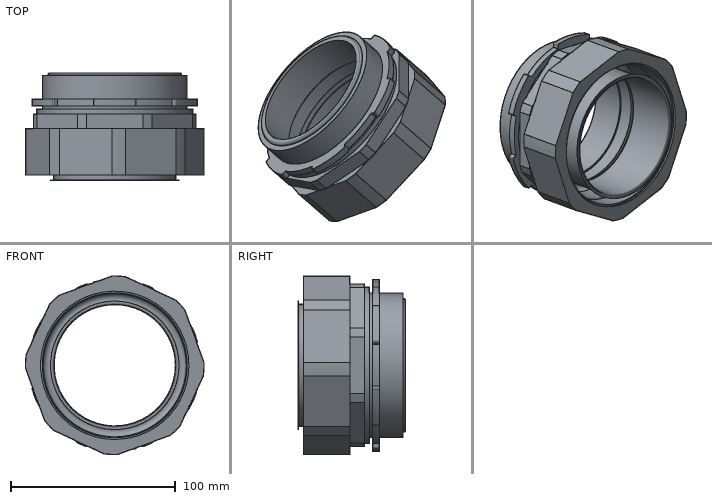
import cadquery as cq
import math


nut_front = 3.4
nut_lip_back = 17.0
nut_back = 31.6
ferrule_back = 32.2
seat_front = 33.0
collar_back = 40.4
washer_back = 43.4
liner_front = 43.9
locknut_front = 45.3
locknut_back = 49.5
barrel_back = 63.9
liner_back = 65.4

octagon_sides = 8
nut_corner_diameter = 108.5
nut_flats = 103.1
nut_turn = 2.5
nut_bore = 88.0
nut_mouth_diameter = 90.0
nut_mouth_depth = 1.4

ferrule_bore = 73.5
ferrule_outer = 74.4
ferrule_flange_diameter = 78.0
ferrule_mouth_radius = 0.5
ferrule_flange_bend_radius = 0.2
sheet_thickness = (ferrule_outer - ferrule_bore) / 2

ring_outer = 90.0
ring_bore = 87.0
ring_mouth_fillet = 0.5

spigot_diameter = 92.9
collar_corner_diameter = 104.6
collar_flats = 98.7
barrel_diameter = 88.0
body_bore = 75.5
groove_inner = 74.0
groove_outer = ring_bore

washer_diameter = 95.0

locknut_root_diameter = 98.7
lug_count = 6
lug_diameter = 104.5
lug_width = 26.0
lug_corner_fillet = 0.9

liner_bore = 73.5
liner_outer = 78.1
liner_rim_diameter = 81.0
liner_rim_fillet = 1.0

SMALLEST_CIRCLE = cq.selectors.RadiusNthSelector(0)


def disc(front, back, diameter):
    """Solid cylinder about the Y axis between two stations."""
    return cq.Workplane("XZ", origin=(0, front, 0)).circle(diameter / 2).extrude(front - back)


def tube(front, back, outer, inner):
    """Hollow cylinder about the Y axis between two stations."""
    return disc(front, back, outer).cut(disc(front, back, inner))


def octagon(front, back, across_flats, corner_diameter, corner_angle):
    """Octagonal prism with rounded corners; corner_angle turns its first corner about Y from +X."""
    sharp_corner_diameter = across_flats / math.cos(math.pi / octagon_sides)
    prism = (
        cq.Workplane("XZ", origin=(0, front, 0))
        .polygon(octagon_sides, sharp_corner_diameter)
        .extrude(front - back)
        .rotate((0, 0, 0), (0, 1, 0), corner_angle)
    )
    return prism.intersect(disc(front, back, corner_diameter))


def make_nut():
    """Octagonal nut with an inner lip at its front and a bore for the spigot behind it."""
    nut = octagon(nut_front, nut_back, nut_flats, nut_corner_diameter, nut_turn)
    mouth = disc(nut_front, nut_front + nut_mouth_depth, nut_mouth_diameter)
    lip_bore = disc(nut_front, nut_lip_back, nut_bore)
    spigot_bore = disc(nut_lip_back, nut_back, spigot_diameter)
    return nut.cut(mouth).cut(lip_bore).cut(spigot_bore)


def make_ferrule():
    """Sheet tube whose mouth bends outward into a flange of the same thickness."""
    blank = disc(0, ferrule_back, ferrule_outer)
    blank = blank.union(disc(0, sheet_thickness, ferrule_flange_diameter))
    blank = blank.faces(">Y[-2]").edges(SMALLEST_CIRCLE).fillet(ferrule_flange_bend_radius)
    ferrule = blank.cut(disc(0, ferrule_back, ferrule_bore))
    return ferrule.faces("<Y").edges(SMALLEST_CIRCLE).fillet(ferrule_mouth_radius)


def make_clamp_ring():
    """Plain ring with a rounded front bore edge."""
    ring = tube(nut_lip_back, seat_front, ring_outer, ring_bore)
    return ring.faces("<Y").edges(SMALLEST_CIRCLE).fillet(ring_mouth_fillet)


def make_seat_groove():
    """Torus that cuts the round-bottomed groove between the ferrule and the clamp ring."""
    centre_radius = (groove_outer + groove_inner) / 4
    section_radius = (groove_outer - groove_inner) / 4
    return cq.Workplane(
        cq.Solid.makeTorus(centre_radius, section_radius, cq.Vector(0, seat_front, 0), cq.Vector(0, 1, 0))
    )


def make_body():
    """Spigot, collar and barrel in one piece, bored through."""
    spigot = disc(nut_lip_back, nut_back, spigot_diameter)
    collar_corner_angle = 180 / octagon_sides
    collar = octagon(nut_back, collar_back, collar_flats, collar_corner_diameter, collar_corner_angle)
    barrel = disc(collar_back, barrel_back, barrel_diameter)
    body = spigot.union(collar).union(barrel)
    body = body.cut(disc(nut_lip_back, seat_front, ring_outer))
    body = body.cut(disc(seat_front, liner_front, body_bore))
    body = body.cut(disc(liner_front, barrel_back, liner_outer))
    return body.cut(make_seat_groove())


def make_washer():
    """Flat washer on the barrel, against the collar."""
    return tube(collar_back, washer_back, washer_diameter, barrel_diameter)


def make_lug():
    """Parallel-sided lug pointing along +Z, with rounded tip corners and a tip on the lug circle."""
    lug = (
        cq.Workplane("XY")
        .box(lug_width, locknut_back - locknut_front, lug_diameter / 2, centered=(True, False, False))
        .translate((0, locknut_front, 0))
    )
    lug = lug.intersect(disc(locknut_front, locknut_back, lug_diameter))
    side_corners = cq.selectors.BoxSelector(
        (-lug_width, locknut_front, lug_width), (lug_width, locknut_back, lug_diameter)
    )
    return lug.edges("|Y").edges(side_corners).fillet(lug_corner_fillet)


def make_locknut():
    """Ring with evenly spaced lugs, on the barrel."""
    locknut = disc(locknut_front, locknut_back, locknut_root_diameter)
    lug = make_lug()
    for index in range(lug_count):
        locknut = locknut.union(lug.rotate((0, 0, 0), (0, 1, 0), index * 360 / lug_count))
    return locknut.cut(disc(locknut_front, locknut_back, barrel_diameter))


def make_liner():
    """Tube inside the barrel with a rounded rim covering the barrel's end."""
    rim = disc(barrel_back, liner_back, liner_rim_diameter)
    rim = rim.faces(">Y").edges().fillet(liner_rim_fillet)
    liner = disc(liner_front, barrel_back, liner_outer).union(rim)
    return liner.cut(disc(liner_front, liner_back, liner_bore))


nut = make_nut()
ferrule = make_ferrule()
clamp_ring = make_clamp_ring()
body = make_body()
washer = make_washer()
locknut = make_locknut()
liner = make_liner()

result = cq.Compound.makeCompound(
    [
        nut.val(),
        ferrule.val(),
        clamp_ring.val(),
        body.val(),
        washer.val(),
        locknut.val(),
        liner.val(),
    ]
)